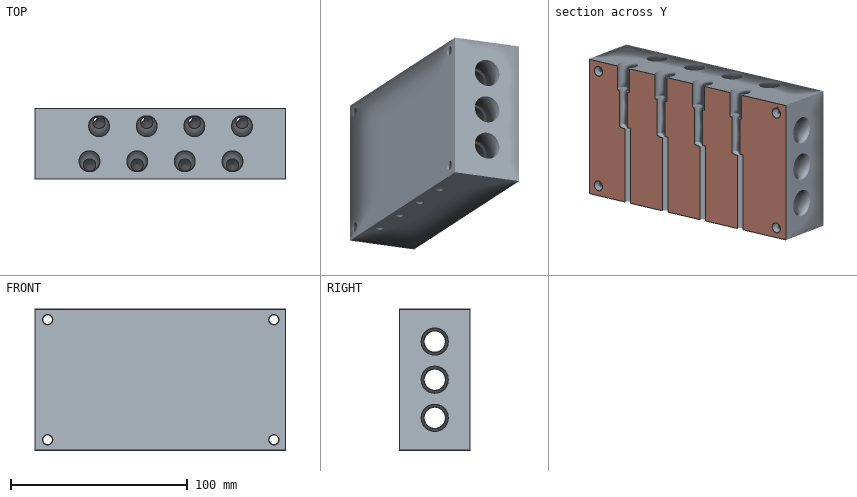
import cadquery as cq
import math

length = 142.0
width = 40.0
height = 80.0

mount_diameter = 5.5
mount_spacing_x = 128.1
mount_spacing_z = 68.0
mount_offset_x = 0.3

gallery_count = 3
gallery_pitch = 21.6
gallery_diameter = 12.0
gallery_port_diameter = 15.3
gallery_port_depth = 17.0

port_count = 4
port_pitch = 27.0
port_diameter = 11.8
port_depth = 14.2
port_row_y = 10.0
front_row_first_x = -40.0
rear_row_first_x = -34.6

passage_diameter = 7.0
passage_row_y = 12.0
passage_depth = 35.5
drill_point_angle = 118.0

drain_diameter = 3.8
drain_offset_x = -3.1
drain_offset_y = 2.1

top_z = height / 2
bottom_z = -height / 2


def row_points(first_x, y):
    """Centres of one row of ports or passages."""
    return [(first_x + i * port_pitch, y) for i in range(port_count)]


def drill_from_top(points, diameter, depth):
    """Flat-ended cylinders sunk from the top face."""
    return cq.Workplane("XY", origin=(0, 0, top_z)).pushPoints(points).circle(diameter / 2).extrude(-depth)


def passage(x, y):
    """Cutter for one passage, with a conical drill point at its end."""
    radius = passage_diameter / 2
    point_length = radius / math.tan(math.radians(drill_point_angle / 2))
    end_z = top_z - passage_depth
    return (
        cq.Workplane("XZ")
        .polyline([(0, top_z), (radius, top_z), (radius, end_z), (0, end_z - point_length)])
        .close()
        .revolve(360, (0, 0), (0, 1))
        .translate((x, y, 0))
    )


def gallery(z):
    """Cutter for one gallery bore and the ports at its two ends."""
    start = cq.Workplane("YZ", origin=(-length / 2, 0, z))
    bore = start.circle(gallery_diameter / 2).extrude(length)
    port = start.circle(gallery_port_diameter / 2).extrude(gallery_port_depth)
    return bore.union(port).union(port.mirror("YZ"))


result = cq.Workplane("XY").box(length, width, height)

mount_holes = (
    cq.Workplane("XZ", origin=(mount_offset_x, 0, 0))
    .rarray(mount_spacing_x, mount_spacing_z, 2, 2)
    .circle(mount_diameter / 2)
    .extrude(width / 2, both=True)
)
result = result.cut(mount_holes)

for i in range(gallery_count):
    result = result.cut(gallery((i - (gallery_count - 1) / 2) * gallery_pitch))

for first_x, side in ((front_row_first_x, -1), (rear_row_first_x, 1)):
    result = result.cut(drill_from_top(row_points(first_x, side * port_row_y), port_diameter, port_depth))
    for x, y in row_points(first_x, side * passage_row_y):
        result = result.cut(passage(x, y))

drain_points = row_points(rear_row_first_x + drain_offset_x, passage_row_y + drain_offset_y)
drains = (
    cq.Workplane("XY", origin=(0, 0, bottom_z))
    .pushPoints(drain_points)
    .circle(drain_diameter / 2)
    .extrude(height - passage_depth)
)
result = result.cut(drains)